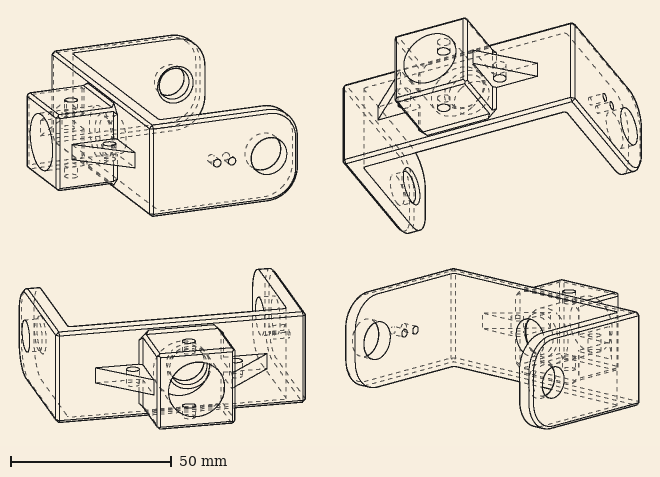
import cadquery as cq

frame_width = 80.0
frame_height = 30.0
arm_length = 50.0
wall = frame_width / 16
arm_corner_radius = 10.0
edge_chamfer = wall / 5
inner_corner_radius = edge_chamfer

pivot_y = arm_length - arm_corner_radius
left_pivot_diameter = 10.0
right_pivot_diameter = 12.0
left_pivot_chamfer = edge_chamfer
pin_hole_diameter = 2.5
first_pin_offset = 12.5
pin_spacing = wall

block_size = 5 * wall
block_length = 20.0
block_flare = edge_chamfer
socket_diameter = 18.0
cross_hole_diameter = 4.0

bore_diameter = 12.0
bore_offset = wall / 2
bore_chamfer = edge_chamfer

gusset_leg = 3 * wall
gusset_thickness = wall
gusset_hole_x = 16.5
gusset_hole_y = -4.0


def y_cylinder(diameter, x, y_start, length):
    """Cylinder along +Y starting at y_start."""
    base = cq.Vector(x, y_start, 0)
    return cq.Workplane(cq.Solid.makeCylinder(diameter / 2, length, base, cq.Vector(0, 1, 0)))


def z_hole(x, y, diameter):
    """Cylinder along Z spanning the full part height."""
    return cq.Workplane("XY").center(x, y).circle(diameter / 2).extrude(frame_height, both=True)


def arm_hole(side, y, diameter):
    """Cylinder through one arm; side is -1 for the left arm and 1 for the right."""
    outward = cq.Vector(side, 0, 0)
    inside = cq.Vector(side * (frame_width / 2 - 2 * wall), y, 0)
    return cq.Workplane(cq.Solid.makeCylinder(diameter / 2, 3 * wall, inside, outward))


def countersink(diameter, chamfer, mouth, inward):
    """45 degree chamfer cutter for a hole whose mouth is centred at the given point."""
    radius = diameter / 2
    return cq.Workplane(cq.Solid.makeCone(radius + chamfer, radius, chamfer, mouth, inward))


def make_frame():
    outer = cq.Workplane("XY").box(frame_width, arm_length, frame_height, centered=(True, False, True))
    outer = outer.edges("|X and >Y").fillet(arm_corner_radius)
    outer = outer.faces("<X or >X or <Y").edges().chamfer(edge_chamfer)
    opening = (
        cq.Workplane("XY")
        .box(frame_width - 2 * wall, arm_length, 2 * frame_height, centered=(True, False, True))
        .edges("|Z and <Y")
        .fillet(inner_corner_radius)
        .translate((0, wall, 0))
    )
    return outer.cut(opening)


def make_block():
    block = cq.Workplane("XZ").rect(block_size, block_size).extrude(block_length)
    block = block.faces("<Y").edges().chamfer(edge_chamfer)
    root_size = block_size + 2 * block_flare
    flare = (
        cq.Workplane("XZ")
        .rect(root_size, root_size)
        .workplane(offset=block_flare)
        .rect(block_size, block_size)
        .loft(ruled=True)
    )
    diamond_reach = block_size - edge_chamfer
    bevel = (
        cq.Workplane("XZ")
        .polyline([(diamond_reach, 0), (0, diamond_reach), (-diamond_reach, 0), (0, -diamond_reach)])
        .close()
        .extrude(block_length)
    )
    return block.union(flare).intersect(bevel)


def make_gussets():
    half_block = block_size / 2
    root_x = half_block + gusset_leg
    return (
        cq.Workplane("XY")
        .polyline([(-root_x, 0), (root_x, 0), (half_block, -gusset_leg), (-half_block, -gusset_leg)])
        .close()
        .extrude(gusset_thickness / 2, both=True)
    )


result = make_frame().union(make_block()).union(make_gussets())

result = result.cut(y_cylinder(socket_diameter, 0, -block_length, block_length))
result = result.cut(y_cylinder(bore_diameter, bore_offset, 0, wall))
bore_mouth = cq.Vector(bore_offset, 0, 0)
result = result.cut(countersink(bore_diameter, bore_chamfer, bore_mouth, cq.Vector(0, 1, 0)))

result = result.cut(z_hole(0, -block_length / 2, cross_hole_diameter))
for side in (-1, 1):
    result = result.cut(z_hole(side * gusset_hole_x, gusset_hole_y, cross_hole_diameter))

result = result.cut(arm_hole(-1, pivot_y, left_pivot_diameter))
left_pivot_mouth = cq.Vector(wall - frame_width / 2, pivot_y, 0)
result = result.cut(
    countersink(left_pivot_diameter, left_pivot_chamfer, left_pivot_mouth, cq.Vector(-1, 0, 0))
)
result = result.cut(arm_hole(1, pivot_y, right_pivot_diameter))
for pin_y in (pivot_y - first_pin_offset, pivot_y - first_pin_offset - pin_spacing):
    result = result.cut(arm_hole(1, pin_y, pin_hole_diameter))